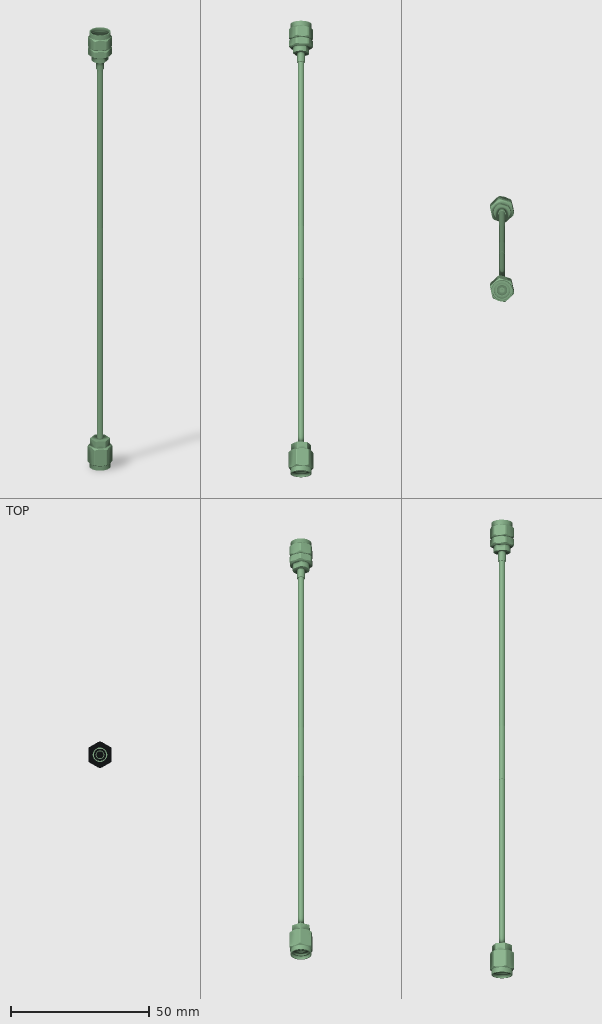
import cadquery as cq
import math

LENGTH = 172.5

NUT_FLATS = 8.0
COLLAR_DIAMETER = 7.6
COLLAR_LENGTH = 1.7
HEX_CHAMFER_LENGTH = 0.5
MOUTH_DIAMETER = 6.9
MOUTH_DEPTH = 1.2
UPPER_NUT_CORNERS = 8.8
UPPER_NUT_LENGTH = 6.0
LOWER_NUT_CORNERS = 9.0
LOWER_NUT_LENGTH = 8.6

PLUG_DIAMETER = 5.9
PLUG_FACE = 1.9
SOCKET_DIAMETER = 3.8
SOCKET_DEPTH = 0.7
PIN_BASE_DIAMETER = 1.9
PIN_BASE_LENGTH = 0.3
PIN_TIP_DIAMETER = 0.9
PIN_TIP_LENGTH = 1.0

UPPER_HEX_LENGTH = 3.1
UPPER_HEX_FACE_DIAMETER = 7.0
FLANGE_DIAMETER = 6.0
FLANGE_FLATS = 5.2
FLANGE_LENGTH = 2.0
FERRULE_DIAMETER = 2.8
FERRULE_LENGTH = 3.5

LOWER_HEX_CORNERS = 7.2
LOWER_HEX_LENGTH = 2.6

CABLE_RADIUS = 1.09
LABEL_RADIUS = 1.14
LABEL_BOTTOM = 74.5
LABEL_LENGTH = 20.4


def cylinder(diameter, start, end):
    return cq.Workplane("XY", origin=(0, 0, start)).circle(diameter / 2).extrude(end - start)


def sharp_hexagon(corners, start, end):
    """Hexagonal prism with flats facing -X and +X, sized across its sharp corners."""
    prism = cq.Workplane("XY", origin=(0, 0, start)).polygon(6, corners).extrude(end - start)
    return prism.rotate((0, 0, 0), (0, 0, 1), 30)


def nut_hexagon(corners, face_diameter, start, end):
    """Hexagonal prism with turned corners, chamfered to a round face at both ends."""
    turned_blank = (
        cq.Workplane("XZ")
        .moveTo(0, start)
        .lineTo(face_diameter / 2, start)
        .lineTo(corners / 2, start + HEX_CHAMFER_LENGTH)
        .lineTo(corners / 2, end - HEX_CHAMFER_LENGTH)
        .lineTo(face_diameter / 2, end)
        .lineTo(0, end)
        .close()
        .revolve(360, (0, 0, 0), (0, 1, 0))
    )
    return sharp_hexagon(NUT_FLATS / math.cos(math.pi / 6), start, end).intersect(turned_blank)


def coupling_nut(corners, length):
    """Nut with its mating face at Z = 0: round collar, hexagon and stepped through bore."""
    collar = cylinder(COLLAR_DIAMETER, 0, COLLAR_LENGTH)
    nut = nut_hexagon(corners, COLLAR_DIAMETER, COLLAR_LENGTH, length).union(collar)
    nut = nut.cut(cylinder(PLUG_DIAMETER, 0, length))
    return nut.cut(cylinder(MOUTH_DIAMETER, 0, MOUTH_DEPTH))


def mating_plug(nut_length):
    """Front of a connector body, from its recessed face to the rear of the nut."""
    socket_floor = PLUG_FACE + SOCKET_DEPTH
    plug = cylinder(PLUG_DIAMETER, PLUG_FACE, nut_length)
    plug = plug.cut(cylinder(SOCKET_DIAMETER, PLUG_FACE, socket_floor))
    plug = plug.union(cylinder(PIN_BASE_DIAMETER, socket_floor - PIN_BASE_LENGTH, socket_floor))
    return plug.union(cylinder(PIN_TIP_DIAMETER, socket_floor - PIN_TIP_LENGTH, socket_floor))


UPPER_HEX_END = UPPER_NUT_LENGTH + UPPER_HEX_LENGTH
FLANGE_END = UPPER_HEX_END + FLANGE_LENGTH
FERRULE_END = FLANGE_END + FERRULE_LENGTH
LOWER_HEX_END = LOWER_NUT_LENGTH + LOWER_HEX_LENGTH


def upper_connector_body():
    """Body with its mating face at Z = 0 and a blind cable hole in its ferrule."""
    rear_hexagon = nut_hexagon(
        UPPER_NUT_CORNERS, UPPER_HEX_FACE_DIAMETER, UPPER_NUT_LENGTH, UPPER_HEX_END
    )
    flats = cq.Workplane("XY").box(FLANGE_FLATS, FLANGE_DIAMETER, LENGTH)
    flange = cylinder(FLANGE_DIAMETER, UPPER_HEX_END, FLANGE_END).intersect(flats)
    ferrule = cylinder(FERRULE_DIAMETER, FLANGE_END, FERRULE_END)
    body = mating_plug(UPPER_NUT_LENGTH).union(rear_hexagon).union(flange).union(ferrule)
    return body.cut(cylinder(2 * CABLE_RADIUS, FLANGE_END, FERRULE_END))


def lower_connector_body():
    rear_hexagon = sharp_hexagon(LOWER_HEX_CORNERS, LOWER_NUT_LENGTH, LOWER_HEX_END)
    return mating_plug(LOWER_NUT_LENGTH).union(rear_hexagon)


def labelled_cable():
    """Cable from the rear of the lower body to the bottom of the ferrule hole."""
    cable = cylinder(2 * CABLE_RADIUS, LOWER_HEX_END, LENGTH - FLANGE_END)
    return cable.union(cylinder(2 * LABEL_RADIUS, LABEL_BOTTOM, LABEL_BOTTOM + LABEL_LENGTH))


def at_upper_end(part):
    """Turn a part over so that its mating face lies at the top of the assembly."""
    return part.rotate((0, 0, 0), (1, 0, 0), 180).translate((0, 0, LENGTH))


upper_nut = at_upper_end(coupling_nut(UPPER_NUT_CORNERS, UPPER_NUT_LENGTH))
upper_body = at_upper_end(upper_connector_body())
lower_nut = coupling_nut(LOWER_NUT_CORNERS, LOWER_NUT_LENGTH)
lower_body = lower_connector_body()
cable = labelled_cable()

result = cq.Compound.makeCompound(
    [upper_nut.val(), upper_body.val(), lower_nut.val(), lower_body.val(), cable.val()]
)